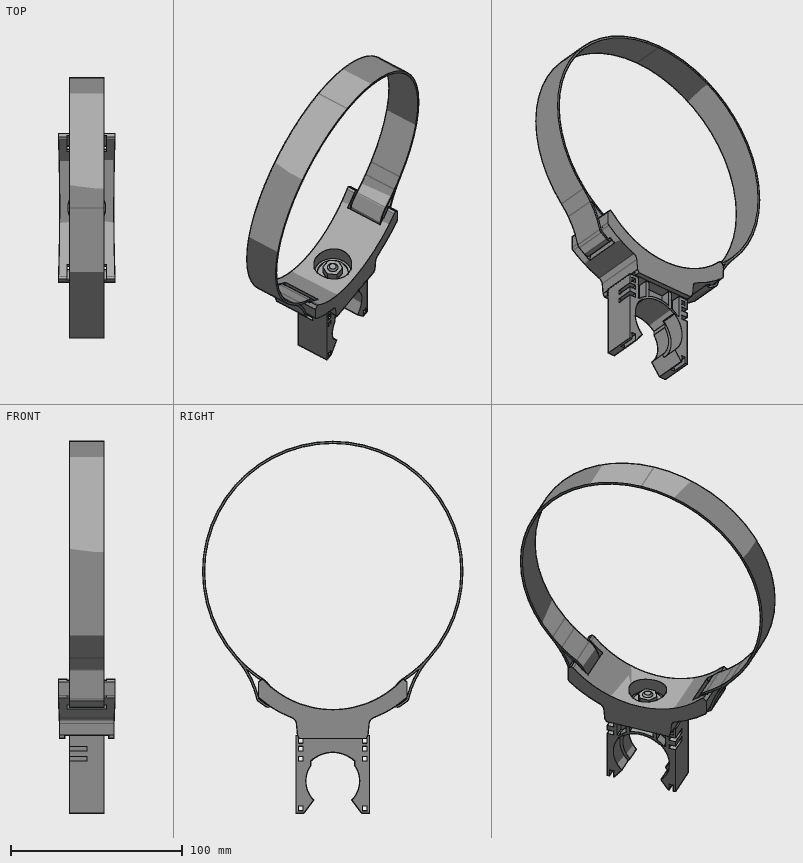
import cadquery as cq
import math


RING_RADIUS = 75.8
STRAP_WIDTH = 20.1
STRAP_THICKNESS = 1.3
RING_MIDDLE_RADIUS = RING_RADIUS - STRAP_THICKNESS / 2
RING_END_ANGLE = -41.7
FLARE_RADIUS = 55.5
FORK_ANGLE = -48.0
STRAND_END_ANGLE = -57.0
FORK_SWEEP = 9.0
FLARE_SWEEP = 29.0
SLOT_BEND_RADIUS = 12.8
SLOT_BEND_SWEEP = 84.0
RING_TOP_ANGLE = 90.0
STRAP_BEND_RADIUS = 2.2

SADDLE_CENTRE_Z = -24.7
SADDLE_INNER_RADIUS = 55.6
SADDLE_OUTER_RADIUS = 65.0
SADDLE_END_Y = 43.3
SADDLE_END_HALF_WIDTH = 16.55
SADDLE_WAIST_HALF_WIDTH = 15.8
SADDLE_ARC_END_Y = 40.0
TIP = (41.3, -62.5)
TIP_CHAMFER_END_Z = -64.3
SADDLE_END_FILLET = 2.2
FOOT_TOP_Y = 21.5
FOOT_EDGE = (20.5, -95.0)
FOOT_BOTTOM_HALF_WIDTH = 19.5
FOOT_BOTTOM_Z = -97.0
FOOT_FILLET = 3.7
CHANNEL_HALF_WIDTH = 12.8
STRAP_SLOT_WIDTH = 22.7
SLOT_WALL_TOP = (32.5, -67.0)
SLOT_WALL_BOTTOM = (34.2, -80.0)

CLIP_TOP_Z = -95.2
CLIP_BOTTOM_Z = -140.7
CLIP_HALF_HEIGHT_Y = 21.5
CLIP_BORE_Z = -121.9
LIP_BORE_RADIUS = 15.5
WIDE_BORE_RADIUS = 17.5
CROWN_Z = -123.5
CROWN_RADIUS = 18.5
CROWN_HALF_WIDTH = 12.8
FOOT_INNER_Y = 16.9
POCKET_FLOOR_RADIUS = 20.0
POCKET_BOTTOM_Z = -109.5
POCKET_DEPTH = 5.8
CENTRE_POCKET_HALF_WIDTH = 7.4
SIDE_POCKET_INNER_Y = 9.5
SIDE_POCKET_OUTER_Y = 15.2
TIE_HOLE_SIZE = 2.5
TIE_HOLE_Y = 18.6
TIE_HOLE_Z = [-98.5, -103.0, -108.9, -137.7]
SIDE_SLOT_Z = [-103.0, -108.9]

SEAT_Z = -88.7
COUNTERBORE_RADIUS = 11.0
WASHER_RADIUS = 9.0
WASHER_THICKNESS = 0.9
NUT_WIDTH = 10.0
NUT_HEIGHT = 5.0
SCREW_RADIUS = 3.0
SCREW_TIP_Z = -81.8
SCREW_TIP_CHAMFER = 1.0
SCREW_BOTTOM_Z = -101.7


def extrude_x(sketch, width):
    """Extrude a YZ outline symmetrically about X = 0."""
    return sketch.extrude(width / 2, both=True)


def both_sides(half):
    """A +Y feature together with its mirror image at -Y."""
    return half.union(half.mirror("XZ"), clean=False)


def block(x0, x1, y0, y1, z0, z1):
    return cq.Workplane("XY").box(x1 - x0, y1 - y0, z1 - z0, centered=False).translate((x0, y0, z0))


def x_cylinder(radius, z, width):
    return extrude_x(cq.Workplane("YZ").center(0, z).circle(radius), width)


def polar(centre, radius, angle):
    a = math.radians(angle)
    return (centre[0] + radius * math.cos(a), centre[1] + radius * math.sin(a))


FLARE_CENTRE = polar((0, 0), RING_MIDDLE_RADIUS + FLARE_RADIUS, RING_END_ANGLE)
SLOT_BEND_CENTRE = polar((0, 0), RING_MIDDLE_RADIUS + SLOT_BEND_RADIUS, STRAND_END_ANGLE)


def flare_point(sweep, offset=0.0):
    return polar(FLARE_CENTRE, FLARE_RADIUS + offset, RING_END_ANGLE + 180 + sweep)


def slot_bend_point(sweep):
    return polar(SLOT_BEND_CENTRE, SLOT_BEND_RADIUS, STRAND_END_ANGLE + 180 + sweep)


def ring_point(angle, offset=0.0):
    return polar((0, 0), RING_MIDDLE_RADIUS + offset, angle)


def loop_solid(offset, width):
    """The +Y loop round the saddle end bar, filled, grown from the strap middle line by offset."""
    path = (
        cq.Workplane("YZ")
        .moveTo(*flare_point(FORK_SWEEP))
        .threePointArc(flare_point((FORK_SWEEP + FLARE_SWEEP) / 2), flare_point(FLARE_SWEEP))
        .lineTo(*slot_bend_point(SLOT_BEND_SWEEP))
        .threePointArc(slot_bend_point(SLOT_BEND_SWEEP / 2), slot_bend_point(0))
        .threePointArc(ring_point((FORK_ANGLE + STRAND_END_ANGLE) / 2), ring_point(FORK_ANGLE))
        .close()
        .val()
    )
    lower_bends = [v for v in path.Vertices() if v.Z < flare_point(FLARE_SWEEP)[1] + STRAP_THICKNESS]
    outline = path.fillet2D(STRAP_BEND_RADIUS, lower_bends).offset2D(offset)[0]
    return extrude_x(cq.Workplane("YZ").add(outline).toPending(), width)


def arc_strip(point, start, end):
    """Strap-thick strip that follows point(position, offset) from start to end."""
    half = STRAP_THICKNESS / 2
    middle = (start + end) / 2
    outline = (
        cq.Workplane("YZ")
        .moveTo(*point(start, half))
        .threePointArc(point(middle, half), point(end, half))
        .lineTo(*point(end, -half))
        .threePointArc(point(middle, -half), point(start, -half))
        .close()
    )
    return extrude_x(outline, STRAP_WIDTH)


def make_strap():
    half = STRAP_THICKNESS / 2
    loop = loop_solid(half, STRAP_WIDTH).cut(loop_solid(-half, STRAP_WIDTH))
    half_ring = arc_strip(ring_point, RING_TOP_ANGLE, FORK_ANGLE)
    outer_strand = arc_strip(flare_point, 0, FORK_SWEEP)
    return both_sides(half_ring.union(outer_strand, clean=False).union(loop, clean=False))


def arc_z(radius, y):
    return SADDLE_CENTRE_Z - math.sqrt(radius**2 - y**2)


def saddle_profile():
    y_mid = (FOOT_TOP_Y + SADDLE_END_Y) / 2
    half = (
        cq.Workplane("YZ")
        .moveTo(0, SADDLE_CENTRE_Z - SADDLE_INNER_RADIUS)
        .threePointArc(
            (SADDLE_ARC_END_Y / 2, arc_z(SADDLE_INNER_RADIUS, SADDLE_ARC_END_Y / 2)),
            (SADDLE_ARC_END_Y, arc_z(SADDLE_INNER_RADIUS, SADDLE_ARC_END_Y)),
        )
        .lineTo(*TIP)
        .lineTo(SADDLE_END_Y, TIP_CHAMFER_END_Z)
        .lineTo(SADDLE_END_Y, arc_z(SADDLE_OUTER_RADIUS, SADDLE_END_Y))
        .threePointArc(
            (y_mid, arc_z(SADDLE_OUTER_RADIUS, y_mid)),
            (FOOT_TOP_Y, arc_z(SADDLE_OUTER_RADIUS, FOOT_TOP_Y)),
        )
        .lineTo(*FOOT_EDGE)
        .lineTo(FOOT_BOTTOM_HALF_WIDTH, FOOT_BOTTOM_Z)
        .lineTo(0, FOOT_BOTTOM_Z)
        .close()
    )
    solid = extrude_x(half, 4 * SADDLE_END_HALF_WIDTH)

    def rounded(y, z, radius, body):
        corner = cq.selectors.BoxSelector((-214.3, y - 0.2, z - 0.2), (214.3, y + 0.2, z + 0.2))
        return body.edges("|X").edges(corner).fillet(radius)

    solid = rounded(SADDLE_END_Y, arc_z(SADDLE_OUTER_RADIUS, SADDLE_END_Y), SADDLE_END_FILLET, solid)
    solid = rounded(FOOT_TOP_Y, arc_z(SADDLE_OUTER_RADIUS, FOOT_TOP_Y), FOOT_FILLET, solid)
    return both_sides(solid)


def saddle_plan():
    """Plan outline with slightly hollow long sides, tall enough to span the saddle."""
    end, waist, y = SADDLE_END_HALF_WIDTH, SADDLE_WAIST_HALF_WIDTH, SADDLE_END_Y
    return (
        cq.Workplane("XY", origin=(0, 0, FOOT_BOTTOM_Z))
        .moveTo(end, -y)
        .threePointArc((waist, 0), (end, y))
        .lineTo(-end, y)
        .threePointArc((-waist, 0), (-end, -y))
        .close()
        .extrude(SADDLE_END_Y)
    )


def strap_passage():
    """Slot through the +Y wing and relief over its end bar, which fills the strap loop."""
    beyond = 2 * SADDLE_END_Y
    passage = extrude_x(
        cq.Workplane("YZ").polyline([SLOT_WALL_TOP, (SLOT_WALL_TOP[0], 0), (beyond, 0),
                                     (beyond, SLOT_WALL_BOTTOM[1]), SLOT_WALL_BOTTOM]).close(),
        STRAP_SLOT_WIDTH,
    )
    return passage.cut(loop_solid(-STRAP_THICKNESS / 2, STRAP_SLOT_WIDTH))


def z_cylinder(radius, z0, z1):
    return cq.Workplane("XY", origin=(0, 0, z0)).circle(radius).extrude(z1 - z0)


def make_saddle():
    channel = block(-CHANNEL_HALF_WIDTH, CHANNEL_HALF_WIDTH, -214.3, 214.3, FOOT_BOTTOM_Z, CLIP_TOP_Z)
    return (
        saddle_profile()
        .intersect(saddle_plan())
        .cut(channel)
        .cut(both_sides(strap_passage()))
        .cut(z_cylinder(COUNTERBORE_RADIUS, SEAT_Z, 0))
        .cut(z_cylinder(SCREW_RADIUS, FOOT_BOTTOM_Z, 0))
    )


def make_clip():
    w = STRAP_WIDTH / 2
    body = block(-w, w, -CLIP_HALF_HEIGHT_Y, CLIP_HALF_HEIGHT_Y, CLIP_BOTTOM_Z, CLIP_TOP_Z)
    body = body.cut(x_cylinder(LIP_BORE_RADIUS, CLIP_BORE_Z, STRAP_WIDTH))
    wide = x_cylinder(WIDE_BORE_RADIUS, CLIP_BORE_Z, STRAP_WIDTH)
    below = block(-w, 0, -19.5, 19.5, CLIP_BOTTOM_Z, CROWN_Z + CROWN_RADIUS)
    crown = x_cylinder(CROWN_RADIUS, CROWN_Z, STRAP_WIDTH)
    above = block(-w, w, -CROWN_HALF_WIDTH, CROWN_HALF_WIDTH, CLIP_BORE_Z, CLIP_TOP_Z)
    crown = crown.intersect(above)
    outside = block(-w, 0, -19.5, 19.5, CLIP_BOTTOM_Z, CLIP_BORE_Z + CROWN_HALF_WIDTH)
    body = body.cut(crown).cut(wide.intersect(outside))
    lip = LIP_BORE_RADIUS * math.sqrt(0.5)
    mouth = extrude_x(
        cq.Workplane("YZ").polyline([(0, CLIP_BORE_Z), (lip, CLIP_BORE_Z - lip), (FOOT_INNER_Y, CLIP_BOTTOM_Z),
         (-FOOT_INNER_Y, CLIP_BOTTOM_Z), (-lip, CLIP_BORE_Z - lip)]).close(), STRAP_WIDTH)
    body = body.cut(mouth)
    floor = x_cylinder(POCKET_FLOOR_RADIUS, CROWN_Z, STRAP_WIDTH)
    for y0, y1 in [(-CENTRE_POCKET_HALF_WIDTH, CENTRE_POCKET_HALF_WIDTH),
                   (SIDE_POCKET_INNER_Y, SIDE_POCKET_OUTER_Y), (-SIDE_POCKET_OUTER_Y, -SIDE_POCKET_INNER_Y)]:
        body = body.cut(block(-w, -w + POCKET_DEPTH, y0, y1, POCKET_BOTTOM_Z, CLIP_TOP_Z).cut(floor))
    h = TIE_HOLE_SIZE / 2
    for s in (-1, 1):
        for z in TIE_HOLE_Z:
            body = body.cut(cq.Workplane("XY").box(43.3, 2 * h, 2 * h).translate((0, s * TIE_HOLE_Y, z)))
        for z in SIDE_SLOT_Z:
            body = body.cut(cq.Workplane("XY").box(w, 8.7, 2 * h).translate((-w / 2, s * (TIE_HOLE_Y + 4.3), z)))
        body = body.cut(cq.Workplane("XY").box(w, 2 * h, 6.5).translate((-w / 2, s * TIE_HOLE_Y, -141.0)))
    return body.cut(z_cylinder(SCREW_RADIUS, SCREW_BOTTOM_Z, CLIP_TOP_Z))


def make_washer():
    top = SEAT_Z + WASHER_THICKNESS
    return z_cylinder(WASHER_RADIUS, SEAT_Z, top).cut(z_cylinder(SCREW_RADIUS, SEAT_Z, top))


def make_nut():
    bottom = SEAT_Z + WASHER_THICKNESS
    top = bottom + NUT_HEIGHT
    hexagon = cq.Workplane("XY", origin=(0, 0, bottom)).polygon(6, NUT_WIDTH, circumscribed=True)
    return hexagon.extrude(NUT_HEIGHT).cut(z_cylinder(SCREW_RADIUS, bottom, top))


def make_screw():
    return z_cylinder(SCREW_RADIUS, SCREW_BOTTOM_Z, SCREW_TIP_Z).faces(">Z").chamfer(SCREW_TIP_CHAMFER)


strap = make_strap()
saddle = make_saddle()
clip = make_clip()
washer = make_washer()
nut = make_nut()
screw = make_screw()

result = cq.Compound.makeCompound(
    [strap.val(), saddle.val(), clip.val(), washer.val(), nut.val(), screw.val()]
)